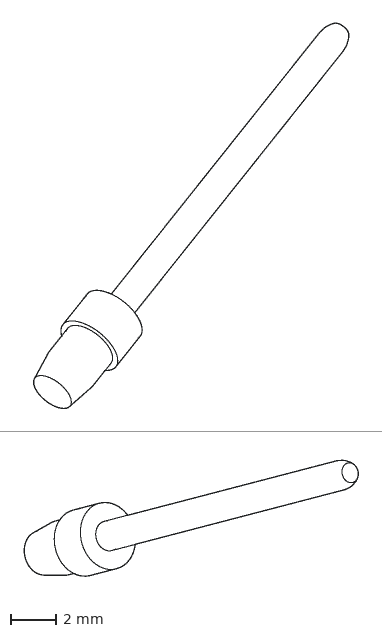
import cadquery as cq

total_length = 23.5
nose_length = 1.5
neck_length = 1.5
collar_length = 2.0
tip_length = 0.75

nose_end_diameter = 2.0
neck_diameter = 2.47
collar_diameter = 3.0
shaft_diameter = 1.35
tip_end_diameter = 0.9

front_end = -total_length / 2
neck_start = front_end + nose_length
collar_start = neck_start + neck_length
shaft_start = collar_start + collar_length
back_end = total_length / 2
tip_start = back_end - tip_length

tip_end = (tip_end_diameter / 2, back_end)
profile = (
    cq.Workplane("XY")
    .moveTo(0, front_end)
    .lineTo(nose_end_diameter / 2, front_end)
    .lineTo(neck_diameter / 2, neck_start)
    .lineTo(neck_diameter / 2, collar_start)
    .lineTo(collar_diameter / 2, collar_start)
    .lineTo(collar_diameter / 2, shaft_start)
    .lineTo(shaft_diameter / 2, shaft_start)
    .lineTo(shaft_diameter / 2, tip_start)
    .tangentArcPoint(tip_end, relative=False)
    .lineTo(0, back_end)
    .close()
)

result = profile.revolve(360, (0, 0, 0), (0, 1, 0))